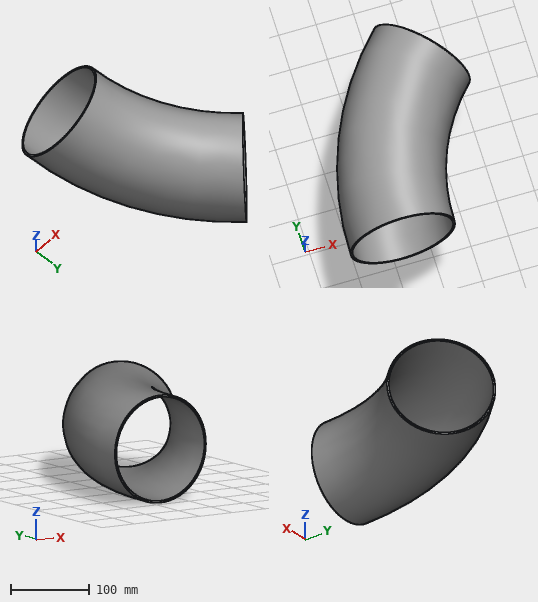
import cadquery as cq
import math

overall_length = 282.7
outer_diameter = 139.7
wall_thickness = 2.6
bend_angle = 45.0

outer_radius = outer_diameter / 2
inner_radius = outer_radius - wall_thickness

bend_radius = overall_length / math.sin(math.radians(bend_angle)) - outer_radius

pipe_section = cq.Workplane("XZ").circle(outer_radius).circle(inner_radius)

axis_start = (bend_radius, 0)
axis_end = (bend_radius, -1)
result = pipe_section.revolve(bend_angle, axis_start, axis_end)